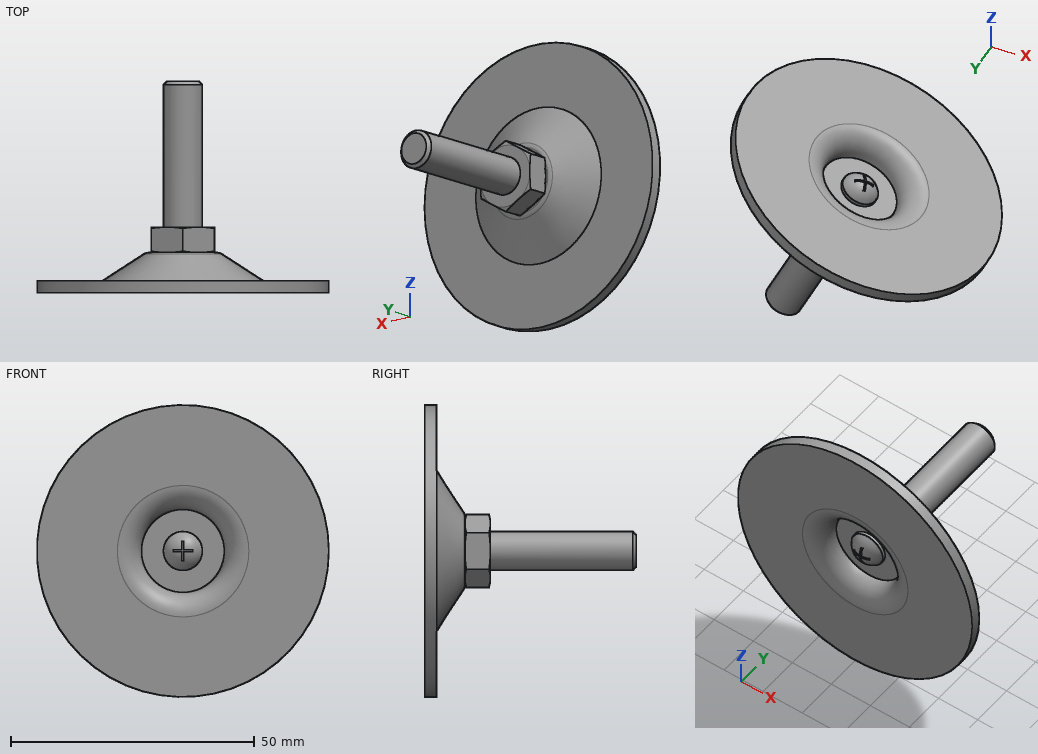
import cadquery as cq
import math

plate_radius = 60 / 2
plate_thickness = 2.5

hub_base_radius = 33 / 2
hub_slope_end_radius = 16 / 2
hub_slope_end_y = 8.0
hub_top_y = 8.3

recess_floor_radius = 17 / 2
recess_depth = 5.0
recess_mouth_radius = recess_floor_radius + recess_depth

nut_across_flats = 13.0
nut_height = 5.2
nut_bevel_angle = 15.0
hexagon_half_angle = 360 / 12
stud_radius = 8 / 2
stud_length = 30.0
stud_chamfer = 0.75

head_rim_height = 0.8
head_dome_height = 2.4
cross_length = 4.0
cross_width = 0.4
cross_depth = 1.0

nut_top_y = hub_top_y + nut_height
stud_end_y = nut_top_y + stud_length
head_rim_y = recess_depth - head_rim_height
head_crown_y = head_rim_y - head_dome_height


def revolve_about_y(profile):
    """Turn a closed half profile, drawn with radius along X, about the Y axis."""
    return profile.close().revolve(360, (0, 0, 0), (0, 1, 0))


def make_plate_and_hub():
    wall_offset = recess_depth * math.sqrt(0.5)
    wall_middle = (recess_mouth_radius - wall_offset, recess_depth - wall_offset)
    slope_angle = math.atan2(hub_slope_end_y - plate_thickness, hub_base_radius - hub_slope_end_radius)
    hub_round = (hub_top_y - hub_slope_end_y) / (1 - math.cos(slope_angle))
    hub_flat_radius = hub_slope_end_radius - hub_round * math.sin(slope_angle)
    round_middle = (
        hub_flat_radius + hub_round * math.sin(slope_angle / 2),
        hub_top_y - hub_round * (1 - math.cos(slope_angle / 2)),
    )
    return revolve_about_y(
        cq.Workplane("XY")
        .moveTo(recess_mouth_radius, 0)
        .lineTo(plate_radius, 0)
        .lineTo(plate_radius, plate_thickness)
        .lineTo(hub_base_radius, plate_thickness)
        .lineTo(hub_slope_end_radius, hub_slope_end_y)
        .threePointArc(round_middle, (hub_flat_radius, hub_top_y))
        .lineTo(0, hub_top_y)
        .lineTo(0, recess_depth)
        .lineTo(recess_floor_radius, recess_depth)
        .threePointArc(wall_middle, (recess_mouth_radius, 0))
    )


def make_nut():
    """Hexagon with corners on +Z and -Z, its corners bevelled at both ends."""
    flat_radius = nut_across_flats / 2
    corner_radius = flat_radius / math.cos(math.radians(hexagon_half_angle))
    bevel_height = (corner_radius - flat_radius) * math.tan(math.radians(nut_bevel_angle))
    hexagon = (
        cq.Workplane("XZ", origin=(0, hub_top_y, 0))
        .polygon(6, 2 * corner_radius)
        .extrude(-nut_height)
        .rotate((0, 0, 0), (0, 1, 0), hexagon_half_angle)
    )
    bevel_envelope = revolve_about_y(
        cq.Workplane("XY")
        .moveTo(0, hub_top_y)
        .lineTo(flat_radius, hub_top_y)
        .lineTo(corner_radius, hub_top_y + bevel_height)
        .lineTo(corner_radius, nut_top_y - bevel_height)
        .lineTo(flat_radius, nut_top_y)
        .lineTo(0, nut_top_y)
    )
    return hexagon.intersect(bevel_envelope)


def make_stud():
    """Shank from the hub to its chamfered free end."""
    return (
        cq.Workplane("XZ", origin=(0, hub_top_y, 0))
        .circle(stud_radius)
        .extrude(-(stud_end_y - hub_top_y))
        .faces(">Y")
        .chamfer(stud_chamfer)
    )


def make_head():
    """Short cylinder under a spherical dome, with a cross slot in the crown."""
    dome_radius = (stud_radius**2 + head_dome_height**2) / (2 * head_dome_height)
    half_radius = stud_radius / 2
    dome_centre_y = head_crown_y + dome_radius
    dome_middle = (half_radius, dome_centre_y - math.sqrt(dome_radius**2 - half_radius**2))
    head = revolve_about_y(
        cq.Workplane("XY")
        .moveTo(0, recess_depth)
        .lineTo(0, head_crown_y)
        .threePointArc(dome_middle, (stud_radius, head_rim_y))
        .lineTo(stud_radius, recess_depth)
    )
    for slot_size in ((cross_length, cross_width), (cross_width, cross_length)):
        slot = cq.Workplane("XZ", origin=(0, head_crown_y, 0)).rect(*slot_size).extrude(-cross_depth)
        head = head.cut(slot)
    return head


result = make_plate_and_hub().union(make_nut()).union(make_stud()).union(make_head())